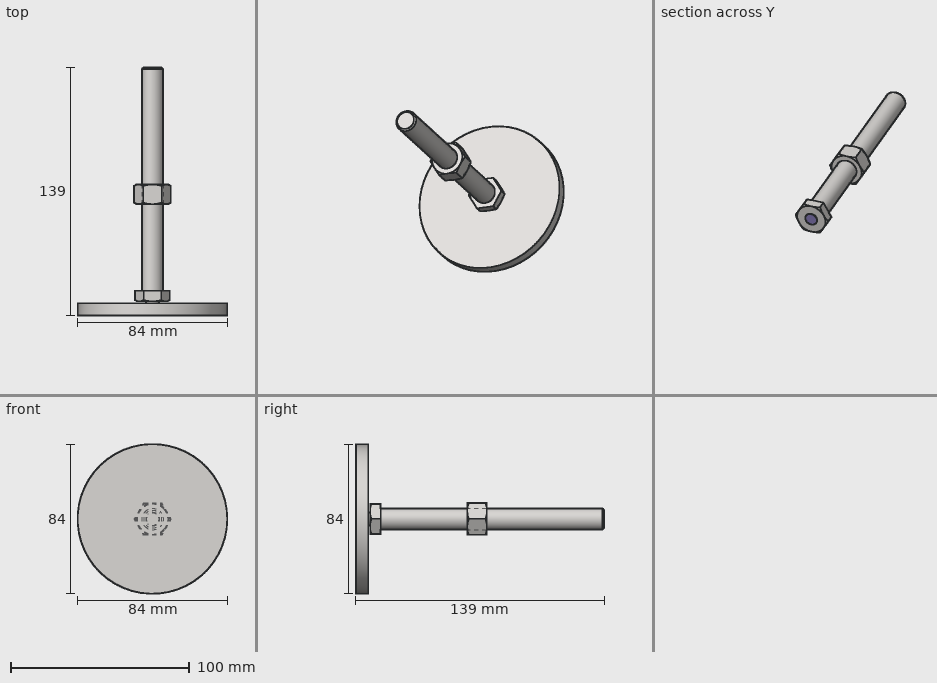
import cadquery as cq
import math

total_length = 139.0

pad_diameter = 84.0
pad_thickness = 7.0

neck_pad_diameter = 7.8
neck_hex_diameter = 7.0
neck_length = 1.0

base_hex_flats = 17.0
base_hex_height = 6.0

rod_diameter = 12.0
rod_tip_chamfer = 1.0

nut_flats = 18.0
nut_height = 11.0
nut_position = 62.4

hex_chamfer_angle = 30.0

base_hex_start = pad_thickness + neck_length
rod_start = base_hex_start + base_hex_height


def disc(diameter, start, length):
    """Round bar from Y = start to Y = start + length."""
    plane = cq.Workplane("XZ", origin=(0, start, 0))
    return plane.circle(diameter / 2).extrude(-length)


def hexagon(flats, start, height, chamfer_far_end):
    """Hexagonal prism with corners on the X axis and turned-down corners.

    The near end is always chamfered, the far end only on request.
    """
    corner_radius = flats / math.sqrt(3)
    face_radius = flats / 2
    chamfer_height = (corner_radius - face_radius) * math.tan(math.radians(hex_chamfer_angle))
    end = start + height

    plane = cq.Workplane("XZ", origin=(0, start, 0))
    prism = plane.polygon(6, 2 * corner_radius).extrude(-height)

    profile = [(0, start), (face_radius, start), (corner_radius, start + chamfer_height)]
    if chamfer_far_end:
        profile += [(corner_radius, end - chamfer_height), (face_radius, end)]
    else:
        profile += [(corner_radius, end)]
    profile += [(0, end)]
    envelope = cq.Workplane("XY").polyline(profile).close().revolve(360, (0, 0), (0, 1))
    return prism.intersect(envelope)


def tapered_neck():
    """Short cone that narrows from the pad up to the hexagon."""
    profile = [
        (0, pad_thickness),
        (neck_pad_diameter / 2, pad_thickness),
        (neck_hex_diameter / 2, base_hex_start),
        (0, base_hex_start),
    ]
    return cq.Workplane("XY").polyline(profile).close().revolve(360, (0, 0), (0, 1))


def make_pad():
    """Flat round foot."""
    return disc(pad_diameter, 0, pad_thickness)


def make_spindle():
    """Rod with a hexagonal foot and a short tapered neck that stands on the pad."""
    neck = tapered_neck()
    base_hex = hexagon(base_hex_flats, base_hex_start, base_hex_height, chamfer_far_end=False)
    rod = disc(rod_diameter, rod_start, total_length - rod_start)
    rod = rod.faces(">Y").chamfer(rod_tip_chamfer)
    return neck.union(base_hex).union(rod)


def make_lock_nut():
    """Hexagonal nut bored to fit the rod."""
    body = hexagon(nut_flats, nut_position, nut_height, chamfer_far_end=True)
    bore = disc(rod_diameter, nut_position, nut_height)
    return body.cut(bore)


pad = make_pad()
spindle = make_spindle()
lock_nut = make_lock_nut()

result = cq.Compound.makeCompound([pad.val(), spindle.val(), lock_nut.val()])